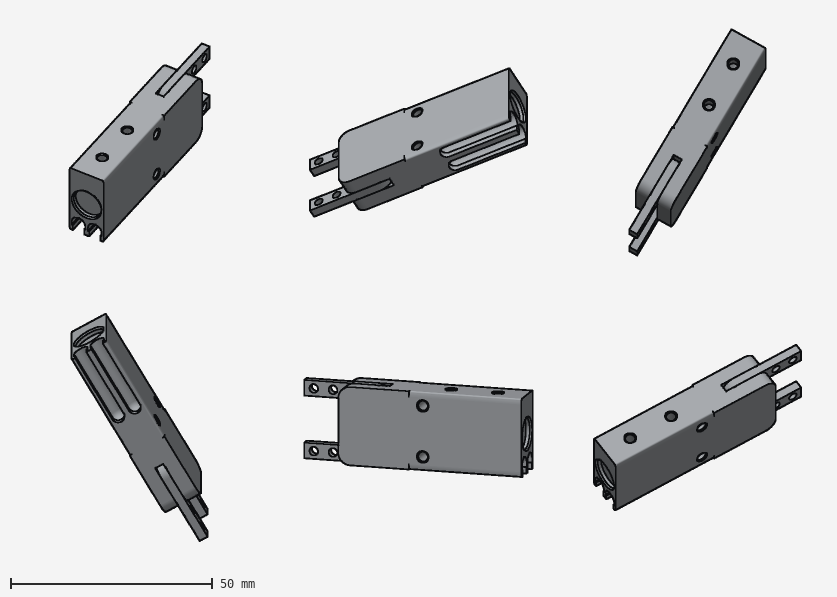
import cadquery as cq
import math

HEIGHT = 20.0
WIDTH = HEIGHT / 2
HOUSING_LENGTH = 47.35
MID_HEIGHT = HEIGHT / 2
FRONT_RADIUS = 3.05

RELIEF_LENGTH = 29.05
RELIEF_WIDTH = 0.6
RELIEF_DEPTH = 1.4
RELIEF_SHOULDER_INSET = 0.1
RELIEF_SHOULDER_DROP = 0.4

TOTAL_LENGTH = 57.3
FINGER_THICKNESS = 2.3
FINGER_HEIGHT = 4.0
FINGER_INNER_END = 35.3
FINGER_END_RADIUS = 3.55
FINGER_SLOT_END = 35.1
FINGER_HOLE_DIAMETER = 2.2
FINGER_HOLE_TIP_DISTANCE = 2.45
FINGER_HOLE_SPACING = 5.0

MOUNT_HOLE_DIAMETER = 2.45
MOUNT_MOUTH_DIAMETER = 3.05
MOUNT_CHAMFER_DEPTH = (MOUNT_MOUTH_DIAMETER - MOUNT_HOLE_DIAMETER) / 2
SIDE_HOLE_Y = 25.5
SIDE_HOLE_SPACING = 13.0
TOP_HOLE_FIRST_Y = 7.5
TOP_HOLE_SPACING = 12.1
TOP_HOLE_DEPTH = 4.0
DRILL_POINT_ANGLE = 118.0

RECESS_DIAMETER = 8.0
RECESS_MOUTH_DIAMETER = 8.6
RECESS_CHAMFER_DEPTH = 0.5
RECESS_DEPTH = 1.5

GROOVE_OFFSET = 2.35
GROOVE_RADIUS = 1.95
GROOVE_CENTRE_HEIGHT = 2.7
GROOVE_NECK_WIDTH = 3.2
GROOVE_NECK_HEIGHT = 1.65
GROOVE_LENGTH = 20.6


def cylinder(radius, length, start, direction):
    return cq.Workplane(cq.Solid.makeCylinder(radius, length, cq.Vector(*start), cq.Vector(*direction)))


def chamfer_cone(mouth_diameter, hole_diameter, depth, start, direction):
    """Chamfer cutter whose wide end lies on the hole's mouth."""
    return cq.Workplane(cq.Solid.makeCone(
        mouth_diameter / 2, hole_diameter / 2, depth, cq.Vector(*start), cq.Vector(*direction)))


def mount_chamfer(start, direction):
    return chamfer_cone(MOUNT_MOUTH_DIAMETER, MOUNT_HOLE_DIAMETER, MOUNT_CHAMFER_DEPTH, start, direction)


def make_block():
    block = cq.Workplane("XY").box(WIDTH, HOUSING_LENGTH, HEIGHT, centered=(True, False, False))
    return block.faces(">Y").edges("|X").fillet(FRONT_RADIUS)


def make_edge_relief():
    """Cutter for the upper +X edge: a shallow arc leaving the side, then a tight rounded corner."""
    side = WIDTH / 2
    shoulder_x = side - RELIEF_SHOULDER_INSET
    shoulder_z = HEIGHT - RELIEF_SHOULDER_DROP
    crest_x = side - RELIEF_WIDTH
    bulge = math.sin(math.radians(45))
    round_middle = (
        crest_x + (shoulder_x - crest_x) * bulge,
        shoulder_z + RELIEF_SHOULDER_DROP * bulge,
    )
    return (
        cq.Workplane("XZ")
        .moveTo(side, MID_HEIGHT)
        .lineTo(side, HEIGHT - RELIEF_DEPTH)
        .tangentArcPoint((shoulder_x, shoulder_z), relative=False)
        .threePointArc(round_middle, (crest_x, HEIGHT))
        .lineTo(side, HEIGHT)
        .close()
        .extrude(-RELIEF_LENGTH)
    )


def cut_edge_reliefs(housing):
    right_upper = make_edge_relief()
    upper = right_upper.union(right_upper.mirror("YZ"))
    lower = upper.mirror("XY", (0, 0, MID_HEIGHT))
    return housing.cut(upper).cut(lower)


def cut_finger_slot(housing):
    slot = cq.Workplane("XY").box(
        FINGER_THICKNESS, HOUSING_LENGTH - FINGER_SLOT_END, HEIGHT, centered=(True, False, False))
    return housing.cut(slot.translate((0, FINGER_SLOT_END, 0)))


def cut_side_holes(housing):
    for side in (-1, 1):
        z = MID_HEIGHT + side * SIDE_HOLE_SPACING / 2
        left_mouth = (-WIDTH / 2, SIDE_HOLE_Y, z)
        right_mouth = (WIDTH / 2, SIDE_HOLE_Y, z)
        housing = housing.cut(cylinder(MOUNT_HOLE_DIAMETER / 2, WIDTH, left_mouth, (1, 0, 0)))
        housing = housing.cut(mount_chamfer(left_mouth, (1, 0, 0)))
        housing = housing.cut(mount_chamfer(right_mouth, (-1, 0, 0)))
    return housing


def cut_top_holes(housing):
    radius = MOUNT_HOLE_DIAMETER / 2
    point_depth = radius / math.tan(math.radians(DRILL_POINT_ANGLE / 2))
    down = (0, 0, -1)
    for index in range(2):
        y = TOP_HOLE_FIRST_Y + index * TOP_HOLE_SPACING
        mouth = (0, y, HEIGHT)
        floor = cq.Vector(0, y, HEIGHT - TOP_HOLE_DEPTH)
        point = cq.Workplane(cq.Solid.makeCone(radius, 0, point_depth, floor, cq.Vector(*down)))
        housing = housing.cut(cylinder(radius, TOP_HOLE_DEPTH, mouth, down).union(point))
        housing = housing.cut(mount_chamfer(mouth, down))
    return housing


def cut_rear_recess(housing):
    mouth = (0, 0, MID_HEIGHT)
    housing = housing.cut(cylinder(RECESS_DIAMETER / 2, RECESS_DEPTH, mouth, (0, 1, 0)))
    return housing.cut(chamfer_cone(
        RECESS_MOUTH_DIAMETER, RECESS_DIAMETER, RECESS_CHAMFER_DEPTH, mouth, (0, 1, 0)))


def make_sensor_groove(x):
    """Round-topped undercut groove with a narrower neck and a rounded blind end."""
    run = GROOVE_LENGTH - GROOVE_RADIUS
    round_height = GROOVE_CENTRE_HEIGHT - GROOVE_NECK_HEIGHT
    passage = (
        cq.Workplane("XZ")
        .moveTo(-GROOVE_NECK_WIDTH / 2, 0)
        .lineTo(-GROOVE_NECK_WIDTH / 2, GROOVE_NECK_HEIGHT)
        .lineTo(-GROOVE_RADIUS, GROOVE_NECK_HEIGHT)
        .lineTo(-GROOVE_RADIUS, GROOVE_CENTRE_HEIGHT)
        .threePointArc((0, GROOVE_CENTRE_HEIGHT + GROOVE_RADIUS), (GROOVE_RADIUS, GROOVE_CENTRE_HEIGHT))
        .lineTo(GROOVE_RADIUS, GROOVE_NECK_HEIGHT)
        .lineTo(GROOVE_NECK_WIDTH / 2, GROOVE_NECK_HEIGHT)
        .lineTo(GROOVE_NECK_WIDTH / 2, 0)
        .close()
        .extrude(-run)
    )
    blind_end = (
        cylinder(GROOVE_NECK_WIDTH / 2, GROOVE_NECK_HEIGHT, (0, run, 0), (0, 0, 1))
        .union(cylinder(GROOVE_RADIUS, round_height, (0, run, GROOVE_NECK_HEIGHT), (0, 0, 1)))
        .union(cq.Workplane("XY").sphere(GROOVE_RADIUS, angle1=0).translate((0, run, GROOVE_CENTRE_HEIGHT)))
    )
    return passage.union(blind_end).translate((x, 0, 0))


def make_housing():
    housing = cut_edge_reliefs(make_block())
    housing = cut_finger_slot(housing)
    housing = cut_side_holes(housing)
    housing = cut_top_holes(housing)
    housing = cut_rear_recess(housing)
    for side in (-1, 1):
        housing = housing.cut(make_sensor_groove(side * GROOVE_OFFSET))
    return housing


def make_upper_finger():
    """Flat bar with a rounded outer corner at its inner end and two holes near its tip."""
    finger = cq.Workplane("XY").box(
        FINGER_THICKNESS, TOTAL_LENGTH - FINGER_INNER_END, FINGER_HEIGHT, centered=(True, False, False))
    finger = finger.translate((0, FINGER_INNER_END, HEIGHT - FINGER_HEIGHT))
    finger = finger.faces("<Y").edges(">Z").fillet(FINGER_END_RADIUS)
    for index in range(2):
        y = TOTAL_LENGTH - FINGER_HOLE_TIP_DISTANCE - index * FINGER_HOLE_SPACING
        start = (-FINGER_THICKNESS / 2, y, HEIGHT - FINGER_HEIGHT / 2)
        finger = finger.cut(cylinder(FINGER_HOLE_DIAMETER / 2, FINGER_THICKNESS, start, (1, 0, 0)))
    return finger


def make_fingers():
    """The lower finger mirrors the upper one about the housing's mid height."""
    upper = make_upper_finger()
    return [upper, upper.mirror("XY", (0, 0, MID_HEIGHT))]


housing = make_housing()
fingers = make_fingers()

result = cq.Compound.makeCompound([housing.val(), *[finger.val() for finger in fingers]])